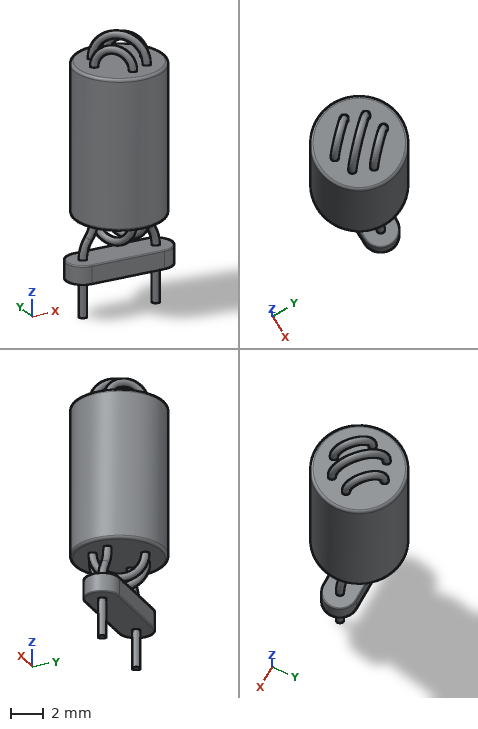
import cadquery as cq
import math

wire_radius = 0.25
wire_circle_radius = 1.75
diagonal = wire_circle_radius * math.sqrt(0.5)

pin_offset = 2.53
pin_length = 2.53
base_height = 1.27
base_length = 7.36
base_width = base_length - 2 * pin_offset
base_edge_round = 0.07

total_height = 18.36
core_diameter = 6.0
core_gap = 2.53
core_edge_round = 0.18
base_top = pin_length + base_height
core_bottom = base_top + core_gap
core_top = total_height - wire_circle_radius - wire_radius
core_middle = (core_bottom + core_top) / 2

left = (-wire_circle_radius, 0)
right = (wire_circle_radius, 0)
front = (0, -wire_circle_radius)
back = (0, wire_circle_radius)
back_left = (-diagonal, diagonal)
front_right = (diagonal, -diagonal)


def make_base():
    bottom = cq.Workplane("XY").workplane(offset=pin_length)
    plate = bottom.slot2D(base_length, base_width).extrude(base_height)
    return plate.faces("<Z or >Z").edges().fillet(base_edge_round)


def make_core():
    height = core_top - core_bottom
    bottom = cq.Workplane("XY").workplane(offset=core_bottom)
    cylinder = bottom.circle(core_diameter / 2).extrude(height)
    return cylinder.faces("<Z or >Z").edges().fillet(core_edge_round)


def sweep_wire(path, start):
    """Sweep the round wire along a path that leaves start vertically."""
    return cq.Workplane("XY", origin=start).circle(wire_radius).sweep(path)


def make_loop(start, end, core_face, direction):
    """Half-circle of wire outside a core face, with straight legs into the core."""
    span = math.dist(start, end)
    crown = (
        (start[0] + end[0]) / 2,
        (start[1] + end[1]) / 2,
        core_face + direction * span / 2,
    )
    path = cq.Wire.assembleEdges([
        cq.Edge.makeLine(cq.Vector(*start, core_middle), cq.Vector(*start, core_face)),
        cq.Edge.makeThreePointArc(
            cq.Vector(*start, core_face), cq.Vector(*crown), cq.Vector(*end, core_face)
        ),
        cq.Edge.makeLine(cq.Vector(*end, core_face), cq.Vector(*end, core_middle)),
    ])
    return sweep_wire(path, (*start, core_middle))


def make_lead(side):
    """Straight pin through the base, then an S-bend inwards up into the core."""
    pin_x = side * pin_offset
    core_x = side * wire_circle_radius
    bend_middle = ((pin_x + core_x) / 2, (base_top + core_bottom) / 2)
    path = (
        cq.Workplane("XZ")
        .moveTo(pin_x, 0)
        .lineTo(pin_x, base_top)
        .tangentArcPoint(bend_middle, relative=False)
        .tangentArcPoint((core_x, core_bottom), relative=False)
        .lineTo(core_x, core_middle)
    )
    return sweep_wire(path, (pin_x, 0, 0))


result = make_core().union(make_base())

for side in (-1, 1):
    result = result.union(make_lead(side))

for start, end in ((left, front), (back_left, front_right), (back, right)):
    result = result.union(make_loop(start, end, core_top, 1))

for start, end in ((back_left, front), (back, front_right)):
    result = result.union(make_loop(start, end, core_bottom, -1))